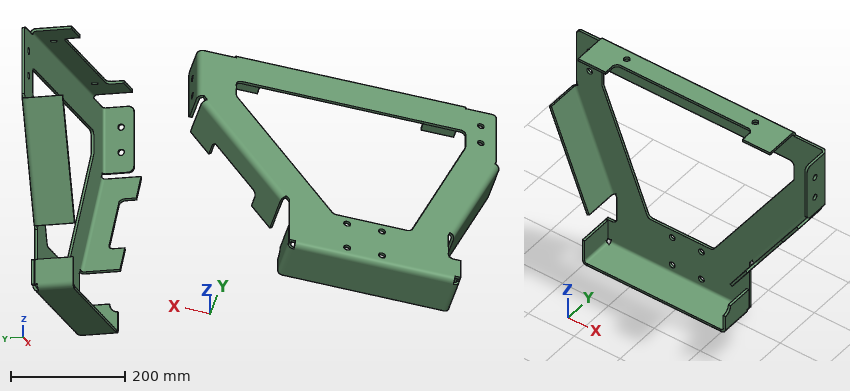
import cadquery as cq
import math

sheet = 5.0
inner_bend = 5.5
outer_bend = inner_bend + sheet
depth = 75.0

tray_width = 312.0
tray_wall_height = 55.0
tray_wall_gap = 1.8
tray_scoop_radius = 15.0
tray_floor_setback = 0.5

overall_height = 472.01
side_face = 478.7
plate_left = -64.8
plate_top = overall_height - outer_bend
neck_left = 22.8
neck_right = tray_width
neck_top = 116.0
plate_left_bottom = 339.0
plate_corner_radius = 8.5
neck_fillet = 10.0
side_flange_height = 120.0
plate_right = side_face - outer_bend
plate_right_bottom = plate_top - side_flange_height

window_left = -9.0
window_width = 418.0
window_right = window_left + window_width
window_top = 401.5
window_shoulder = 360.0
window_bottom = 103.9
window_bottom_left = 91.3
window_bottom_right = 232.0
window_fillet = 10.0

side_flange_depth = 60.0
side_flange_radius = 10.0
left_flange_margin = 7.1
right_flange_margin = 10.0

cutout_depth = 30.0
cutout_radius = 10.0
top_cutout_margin = 60.0
right_cutout_margin = 59.0

foot_hole_diameter = 12.0
foot_hole_pitch = 63.5
foot_hole_left = 143.7
foot_hole_bottom = 22.8
left_hole_diameter = 11.5
left_hole_pitch = 45.0
left_hole_x = -36.3
left_hole_bottom = 379.0
side_hole_diameter = 11.0
side_hole_pitch = 46.0
side_hole_start = (side_flange_height - side_hole_pitch) / 2
side_hole_depth = 37.0
top_hole_diameter = 11.5
top_hole_margin = 69.0
top_hole_depth = 25.0


def plate_sketch():
    """Sketch on the plate's back face: local axes X and Z, extruding forward (-Y)."""
    return cq.Workplane("XZ", origin=(0, depth, 0))


def shorten(start, end, margin):
    """Move both ends of an edge inward by the margin."""
    length = math.dist(start, end)
    step_x = (end[0] - start[0]) * margin / length
    step_z = (end[1] - start[1]) * margin / length
    return (start[0] + step_x, start[1] + step_z), (end[0] - step_x, end[1] - step_z)


def edge_directions(start, end):
    """Unit vectors along an (x, z) edge and outward from it, to the right of travel."""
    length = math.dist(start, end)
    along_x = (end[0] - start[0]) / length
    along_z = (end[1] - start[1]) / length
    return cq.Vector(along_x, 0, along_z), cq.Vector(along_z, 0, -along_x)


def make_flange(edge, flange_depth):
    """Flange bent forward along a plate edge (start, end)."""
    start, end = edge
    along, outward = edge_directions(start, end)
    plane = cq.Plane(origin=(start[0], depth, start[1]), xDir=outward, normal=along)
    diagonal = math.sqrt(0.5)
    profile = (
        cq.Workplane(plane)
        .moveTo(0, 0)
        .threePointArc((outer_bend * diagonal, outer_bend * (diagonal - 1)), (outer_bend, -outer_bend))
        .lineTo(outer_bend, -flange_depth)
        .lineTo(inner_bend, -flange_depth)
        .lineTo(inner_bend, -outer_bend)
        .threePointArc((inner_bend * diagonal, inner_bend * diagonal - outer_bend), (0, -sheet))
        .close()
    )
    return profile.extrude(math.dist(start, end))


def flange_sketch(edge):
    """Sketch at the bend edge, extruding outward: local x along the edge, local y forward."""
    start, end = edge
    along, outward = edge_directions(start, end)
    return cq.Workplane(cq.Plane(origin=(start[0], depth, start[1]), xDir=along, normal=outward))


def flange_cutout(edge, margin):
    """Rounded recess in the free edge of a full-depth flange."""
    _, outward = edge_directions(*edge)
    length = math.dist(*edge)
    return (
        flange_sketch(edge)
        .moveTo(length / 2, depth)
        .rect(length - 2 * margin, 2 * cutout_depth)
        .extrude(outer_bend)
        .edges(cq.selectors.ParallelDirSelector(outward))
        .fillet(cutout_radius)
    )


def make_plate():
    """Flat back plate, up to the bend lines, with its window."""
    outline = [
        (0, outer_bend),
        (neck_right, outer_bend),
        (neck_right, neck_top),
        (plate_right, plate_right_bottom),
        (plate_right, plate_top),
        (plate_left, plate_top),
        (plate_left, plate_left_bottom),
        (neck_left, neck_top),
        (neck_left, tray_wall_height),
        (0, tray_wall_height),
    ]
    plate = plate_sketch().polyline(outline).close().extrude(sheet)
    plate = plate.edges(corner_edge(plate_left, plate_top)).fillet(plate_corner_radius)
    plate = plate.edges(corner_edge(neck_left, tray_wall_height)).fillet(neck_fillet)

    window_outline = [
        (window_left, window_top),
        (window_left, window_shoulder),
        (window_bottom_left, window_bottom),
        (window_bottom_right, window_bottom),
        (window_right, window_shoulder),
        (window_right, window_top),
    ]
    window = plate_sketch().polyline(window_outline).close().extrude(sheet)
    return plate.cut(window.edges("|Y").fillet(window_fillet))


def corner_edge(x, z):
    """Select the through-thickness edge of the plate at the corner (x, z)."""
    return cq.selectors.NearestToPointSelector((x, depth - sheet / 2, z))


def make_tray_walls():
    """Channel closing the tray at both ends, kept clear of the plate and of its bend."""
    channel_length = depth - outer_bend
    channel = (
        cq.Workplane("XY")
        .box(tray_width, channel_length, tray_wall_height, centered=False)
        .edges("|Y and <Z")
        .fillet(outer_bend)
    )
    cavity = (
        cq.Workplane("XY")
        .box(tray_width - 2 * sheet, channel_length, tray_wall_height, centered=False)
        .edges("|Y and <Z")
        .fillet(inner_bend)
        .translate((sheet, 0, sheet))
    )
    walls = channel.cut(cavity)

    wall_back = depth - sheet - tray_wall_gap
    for wall_x in (0, tray_width - sheet):
        extension = cq.Workplane("XY").box(
            sheet, wall_back - channel_length, tray_wall_height - outer_bend, centered=False
        )
        walls = walls.union(extension.translate((wall_x, channel_length, outer_bend)))

    scoop = (
        cq.Workplane("YZ", origin=(tray_width - sheet, 0, 0))
        .center(0, tray_wall_height)
        .circle(tray_scoop_radius)
        .extrude(sheet)
    )
    return walls.cut(scoop)


def make_tray_setback():
    """Strip whose removal sets the tray floor's front edge slightly behind its walls."""
    strip_length = tray_width - 2 * outer_bend
    strip = cq.Workplane("XY").box(strip_length, tray_floor_setback, sheet, centered=False)
    return strip.translate((outer_bend, 0, 0))


def plate_holes(diameter, points):
    """Cutters through the plate at (x, z) points."""
    return plate_sketch().pushPoints(points).circle(diameter / 2).extrude(sheet)


def flange_holes(edge, diameter, points):
    """Cutters through a flange at (along the edge, forward of the plate back) points."""
    return flange_sketch(edge).pushPoints(points).circle(diameter / 2).extrude(outer_bend)


def make_top_flange(edge):
    """Top flange with a recess in its free edge and a hole near each end."""
    holes = [
        (top_hole_margin, top_hole_depth),
        (window_width - top_hole_margin, top_hole_depth),
    ]
    flange = make_flange(edge, depth).cut(flange_cutout(edge, top_cutout_margin))
    return flange.cut(flange_holes(edge, top_hole_diameter, holes))


def make_side_flange(edge):
    """Shallower flange at the upper right, with rounded corners and two holes."""
    holes = [(side_hole_start + row * side_hole_pitch, side_hole_depth) for row in range(2)]
    flange = make_flange(edge, side_flange_depth).edges("|X and <Y").fillet(side_flange_radius)
    return flange.cut(flange_holes(edge, side_hole_diameter, holes))


def make_drilled_plate():
    """Plate with a square group of holes at the foot and a pair at the upper left."""
    foot_points = [
        (foot_hole_left + column * foot_hole_pitch, foot_hole_bottom + row * foot_hole_pitch)
        for column in range(2)
        for row in range(2)
    ]
    left_points = [(left_hole_x, left_hole_bottom + row * left_hole_pitch) for row in range(2)]
    plate = make_plate().cut(plate_holes(foot_hole_diameter, foot_points))
    return plate.cut(plate_holes(left_hole_diameter, left_points))


tray_edge = ((outer_bend, outer_bend), (tray_width - outer_bend, outer_bend))
right_edge = shorten((neck_right, neck_top), (plate_right, plate_right_bottom), right_flange_margin)
side_edge = ((plate_right, plate_right_bottom), (plate_right, plate_top))
top_edge = ((window_right, plate_top), (window_left, plate_top))
left_edge = shorten((plate_left, plate_left_bottom), (neck_left, neck_top), left_flange_margin)

flanges = [
    make_flange(tray_edge, depth),
    make_flange(right_edge, depth).cut(flange_cutout(right_edge, right_cutout_margin)),
    make_side_flange(side_edge),
    make_top_flange(top_edge),
    make_flange(left_edge, depth),
]

result = make_drilled_plate().union(make_tray_walls())
for flange in flanges:
    result = result.union(flange)
result = result.cut(make_tray_setback())